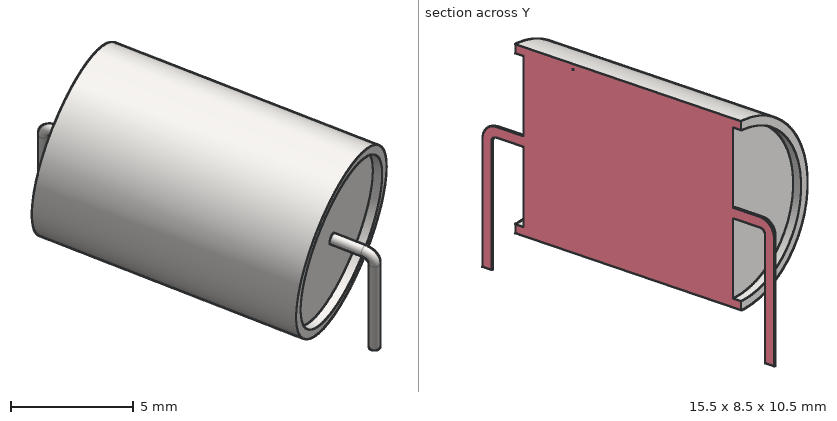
import cadquery as cq

body_diameter = 8.5
body_length = 12.0
recess_diameter = 7.65
recess_depth = 0.425
lead_diameter = 0.5
lead_pitch = 15.0
lead_drop = 2.0
bend_radius = 0.5

axis_height = body_diameter / 2
body_start = (lead_pitch - body_length) / 2
middle_x = lead_pitch / 2
recess_floor = body_start + recess_depth


def cylinder_along_x(diameter, start_x, length):
    """Cylinder on the body axis, running in +X from start_x."""
    plane = cq.Workplane("YZ", origin=(start_x, 0, axis_height))
    return plane.circle(diameter / 2).extrude(length)


def mirror_to_far_end(shape):
    """Copy of a feature reflected to the opposite end of the body."""
    return shape.mirror("YZ", (middle_x, 0, 0))


def make_lead():
    """Round wire from the recess floor, bent down to the lead tip."""
    bend_end_z = axis_height - bend_radius
    path = (
        cq.Workplane("XZ")
        .moveTo(0, -lead_drop)
        .lineTo(0, bend_end_z)
        .tangentArcPoint((bend_radius, axis_height), relative=False)
        .lineTo(recess_floor, axis_height)
    )
    tip = cq.Workplane("XY", origin=(0, 0, -lead_drop))
    return tip.circle(lead_diameter / 2).sweep(path)


def make_body():
    """Cylindrical body with a shallow round recess in each end face."""
    recess = cylinder_along_x(recess_diameter, body_start, recess_depth)
    body = cylinder_along_x(body_diameter, body_start, body_length)
    return body.cut(recess).cut(mirror_to_far_end(recess))


lead = make_lead()
result = make_body().union(lead).union(mirror_to_far_end(lead))